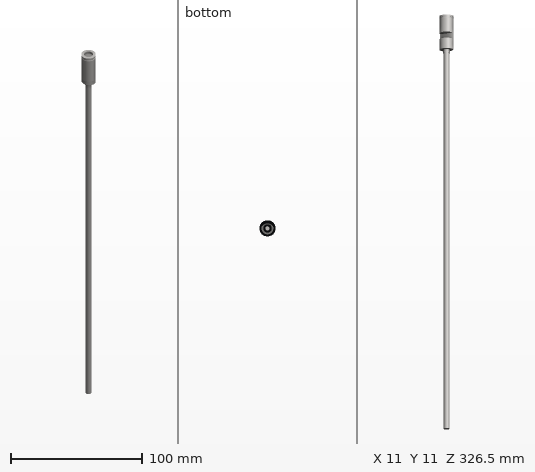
import cadquery as cq
import math

rim_diameter = 11.0
body_diameter = 10.8
body_length = 26.5
rim_radius = rim_diameter / 2
body_radius = body_diameter / 2

cable_diameter = 4.6
cable_length = 300.0
sleeve_diameter = 5.0
sleeve_length = 2.8

socket_diameter = 6.9
socket_depth = 2.0

rim_height = 1.2
groove_depth = 0.2
groove_width = 1.0
groove_shoulder_height = 0.6

window_bottom = 8.2
window_height = 4.8
window_floor_y = 0.2

foot_height = 4.0
foot_edge_y = -1.0
foot_front_y = -4.4


def make_body():
    """Revolved body, groove and rounded shoulder below the rim; bottom face at Z = 0."""
    groove_top = body_length - rim_height
    groove_bottom = groove_top - groove_width
    groove_radius = body_radius - groove_depth
    return (
        cq.Workplane("XZ")
        .lineTo(body_radius, 0)
        .lineTo(body_radius, groove_bottom - groove_shoulder_height)
        .tangentArcPoint((groove_radius, groove_bottom), relative=False)
        .lineTo(groove_radius, groove_top)
        .lineTo(rim_radius, groove_top)
        .lineTo(rim_radius, body_length)
        .lineTo(0, body_length)
        .close()
        .revolve(360, (0, 0, 0), (0, 1, 0))
    )


def make_socket():
    """Shallow round socket in the top face."""
    return (
        cq.Workplane("XY")
        .workplane(offset=body_length - socket_depth)
        .circle(socket_diameter / 2)
        .extrude(socket_depth)
    )


def make_window():
    """Slot across the whole body in X, open toward +Y."""
    return (
        cq.Workplane("XY")
        .box(rim_diameter, rim_radius, window_height, centered=(True, False, False))
        .translate((0, window_floor_y, window_bottom))
    )


def make_foot_cut():
    """Material between the body's -Y side and the flatter arc of its foot."""
    edge_x = math.sqrt(body_radius**2 - foot_edge_y**2)
    return (
        cq.Workplane("XY")
        .moveTo(-edge_x, foot_edge_y)
        .threePointArc((0, foot_front_y), (edge_x, foot_edge_y))
        .lineTo(body_diameter, foot_edge_y)
        .lineTo(body_diameter, -body_diameter)
        .lineTo(-body_diameter, -body_diameter)
        .lineTo(-body_diameter, foot_edge_y)
        .close()
        .extrude(foot_height)
    )


def make_cable():
    """Cable hanging from the body, with a short sleeve where it leaves."""
    cable = cq.Workplane("XY").circle(cable_diameter / 2).extrude(-cable_length)
    sleeve = cq.Workplane("XY").circle(sleeve_diameter / 2).extrude(-sleeve_length)
    return cable.union(sleeve)


body = make_body().cut(make_socket()).cut(make_window()).cut(make_foot_cut())
result = body.union(make_cable())